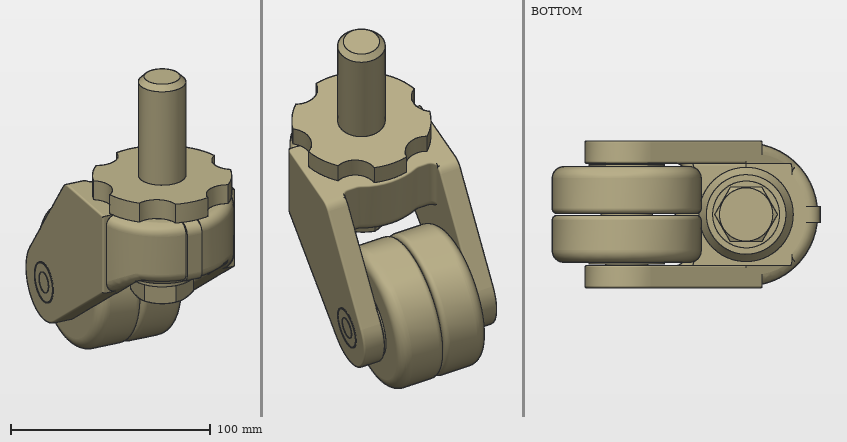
import cadquery as cq
import math


axle_x = -60.0
axle_z = -65.5

fork_half_width = 36.95
arm_inner_y = 25.6
arm_thickness = fork_half_width - arm_inner_y
arm_end_radius = 21.0
arm_front_x = 8.1
arm_top_corner_x = -36.2
arm_top_corner_radius = 8.0
arm_underside_angle = 35.5
arm_edge_radius = 1.0
boss_radius = 36.0
boss_depth = 32.1
boss_edge_radius = 5.5
web_bulge_radius = 35.6
web_wall_x = -31.6
web_blend_radius = 5.0
web_corner_radius = 3.5
web_overlap = 4.0
web_half_width = arm_inner_y + web_overlap
rib_reach = 37.3
rib_width = 8.2
cone_top_radius = 23.7
cone_bottom_radius = 20.0
cone_depth = 6.8

shaft_radius = 12.0
shaft_top_z = 66.79
shaft_tip_radius = 9.1
shaft_tip_height = 2.9
star_radius = 35.0
star_bottom_z = 1.5
star_thickness = 10.5
star_notch_count = 6
star_notch_radius = 11.0
star_notch_center_radius = 40.0
star_first_notch_angle = 30.0
collar_radius = 26.2
washer_radius = 16.8
washer_thickness = 3.3
nut_corner_radius = 15.8
nut_height = 11.0
nut_chamfer_radius = 13.4
nut_chamfer_angle = 30.0

wheel_radius = 37.5
wheel_half_width = 24.1
wheel_gap = 0.8
wheel_outer_edge_radius = 6.0
wheel_inner_edge_radius = 2.6
hub_radius = 19.0
hub_half_width = 25.0
hub_core_radius = 13.0

axle_radius = 10.6
axle_edge_chamfer = 0.5
axle_dimple_radius = 5.4
axle_dimple_depth = 0.3


def y_cylinder(radius, half_length):
    """Cylinder on the axle line, centred on y = 0."""
    return (
        cq.Workplane("XZ", origin=(axle_x, half_length, axle_z))
        .circle(radius)
        .extrude(2 * half_length)
    )



def tangent_point(point_x, point_z):
    """Point on the back of the round arm end that a line from (point_x, point_z) touches."""
    dx = point_x - axle_x
    dz = point_z - axle_z
    turn = math.acos(arm_end_radius / math.hypot(dx, dz))
    angle = math.atan2(dz, dx) + turn
    return (axle_x + arm_end_radius * math.cos(angle), axle_z + arm_end_radius * math.sin(angle))


underside_slope = math.tan(math.radians(arm_underside_angle))
underside_normal = math.radians(arm_underside_angle - 90)
underside_start = (
    axle_x + arm_end_radius * math.cos(underside_normal),
    axle_z + arm_end_radius * math.sin(underside_normal),
)


def underside_z(x):
    """Height of the sloping underside at x."""
    return underside_start[1] + underside_slope * (x - underside_start[0])


def arm_profile(y_front, length):
    """Side outline of an arm, extruded from y_front towards +Y."""
    lower_left = math.radians(225)
    arm_lower_left_point = (
        axle_x + arm_end_radius * math.cos(lower_left),
        axle_z + arm_end_radius * math.sin(lower_left),
    )
    profile = (
        cq.Workplane("XZ", origin=(0, y_front, 0))
        .moveTo(arm_front_x, 0)
        .lineTo(arm_top_corner_x, 0)
        .lineTo(*tangent_point(arm_top_corner_x, 0))
        .threePointArc(arm_lower_left_point, underside_start)
        .lineTo(arm_front_x, underside_z(arm_front_x))
        .close()
        .extrude(-length)
    )
    top_corner = cq.selectors.NearestToPointSelector((arm_top_corner_x, y_front + length / 2, 0))
    return profile.edges("|Y").edges(top_corner).fillet(arm_top_corner_radius)


def make_arm(y_front):
    arm = arm_profile(y_front, arm_thickness)
    return arm.faces("<Y or >Y").edges().fillet(arm_edge_radius)


def make_web():
    """Block between the arms, its back bulging around the stem axis."""
    junction_y = math.sqrt(web_bulge_radius**2 - web_wall_x**2)
    web = (
        cq.Workplane("XY")
        .moveTo(arm_front_x, web_half_width)
        .lineTo(web_wall_x, web_half_width)
        .lineTo(web_wall_x, junction_y)
        .threePointArc((-web_bulge_radius, 0), (web_wall_x, -junction_y))
        .lineTo(web_wall_x, -web_half_width)
        .lineTo(arm_front_x, -web_half_width)
        .close()
        .extrude(-boss_depth)
    )
    for side in (1, -1):
        junction = (web_wall_x, side * junction_y, -boss_depth / 2)
        web = web.edges("|Z").edges(cq.selectors.NearestToPointSelector(junction)).fillet(web_blend_radius)
    back_edges = cq.selectors.BoxSelector(
        (-web_bulge_radius, -web_half_width, -2 * boss_depth),
        (0, web_half_width, boss_depth),
    )
    web = web.edges("not |Z").edges(back_edges).edges("<Z").fillet(boss_edge_radius)
    return web.edges("not |Z").edges(back_edges).edges(">Z").fillet(arm_edge_radius)


def make_web_corner():
    """Hollow corner between web and arm, its rounded top and bottom edges swept a quarter turn."""
    outer_radius = web_corner_radius + boss_edge_radius
    lower_z = boss_edge_radius - boss_depth
    bend = math.sqrt(0.5)
    lower_mid = (outer_radius - boss_edge_radius * bend, lower_z - boss_edge_radius * bend)
    upper_start = web_corner_radius + arm_edge_radius
    upper_mid = (upper_start - arm_edge_radius * bend, -arm_edge_radius + arm_edge_radius * bend)
    corner = (
        cq.Workplane("XZ")
        .moveTo(outer_radius, 0)
        .lineTo(outer_radius, -boss_depth)
        .threePointArc(lower_mid, (web_corner_radius, lower_z))
        .lineTo(web_corner_radius, -arm_edge_radius)
        .threePointArc(upper_mid, (upper_start, 0))
        .close()
        .revolve(90, (0, 0, 0), (0, 1, 0))
        .translate((web_wall_x - web_corner_radius, arm_inner_y - web_corner_radius, 0))
    )
    return corner.intersect(arm_profile(0, fork_half_width))


def make_boss():
    """Round front of the fork; its underside runs on from the arms, then turns level."""
    level_start_x = underside_start[0] + (-boss_depth - underside_start[1]) / underside_slope
    block_size = 2 * boss_radius
    side_block = (
        cq.Workplane("XZ", origin=(0, block_size, 0))
        .moveTo(0, 0)
        .lineTo(0, underside_z(0))
        .lineTo(level_start_x, -boss_depth)
        .lineTo(block_size, -boss_depth)
        .lineTo(block_size, 0)
        .close()
        .extrude(2 * block_size)
    )
    boss = cq.Workplane("XY").circle(boss_radius).extrude(underside_z(0)).intersect(side_block)
    rim = boss.faces("%CYLINDER").edges("not |Z")
    boss = rim.fillet(boss_edge_radius)
    slot = (
        cq.Workplane("XY", origin=(0, 0, -boss_depth))
        .rect(4 * boss_radius, 2 * arm_inner_y)
        .extrude(-boss_depth)
    )
    rib_start_x = boss_radius - 2 * boss_edge_radius
    rib = (
        cq.Workplane("XY", origin=(rib_start_x, 0, -boss_depth))
        .box(rib_reach - rib_start_x, rib_width, boss_depth, centered=(False, True, False))
        .faces(">X")
        .edges("|Y")
        .fillet(boss_edge_radius)
    )
    return boss.cut(slot).union(rib)


def make_fork():
    cone = (
        cq.Workplane("XY", origin=(0, 0, -boss_depth))
        .circle(cone_top_radius)
        .workplane(offset=-cone_depth)
        .circle(cone_bottom_radius)
        .loft()
    )
    fork = make_web()
    for arm_y in (-fork_half_width, arm_inner_y):
        fork = fork.union(make_arm(arm_y))
    web_corner = make_web_corner()
    fork = fork.union(web_corner).union(web_corner.mirror("XZ"))
    fork = fork.union(make_boss()).union(cone)
    stem_hole = cq.Workplane("XY").circle(shaft_radius).extrude(4 * boss_depth, both=True)
    return fork.cut(stem_hole).cut(y_cylinder(axle_radius, fork_half_width))



washer_top_z = -boss_depth - cone_depth
nut_top_z = washer_top_z - washer_thickness
nut_bottom_z = nut_top_z - nut_height


def make_star():
    star = cq.Workplane("XY", origin=(0, 0, star_bottom_z)).circle(star_radius).extrude(star_thickness)
    notches = (
        cq.Workplane("XY", origin=(0, 0, star_bottom_z))
        .polarArray(star_notch_center_radius, star_first_notch_angle, 360, star_notch_count)
        .circle(star_notch_radius)
        .extrude(star_thickness)
    )
    return star.cut(notches)


def make_nut():
    """Hexagon with its lower corners turned off by a cone."""
    nut = (
        cq.Workplane("XY", origin=(0, 0, nut_bottom_z))
        .polygon(6, 2 * nut_corner_radius)
        .extrude(nut_height)
    )
    chamfer_rise = (nut_corner_radius - nut_chamfer_radius) * math.tan(math.radians(nut_chamfer_angle))
    turned = (
        cq.Workplane("XZ")
        .moveTo(0, nut_bottom_z)
        .lineTo(nut_chamfer_radius, nut_bottom_z)
        .lineTo(nut_corner_radius, nut_bottom_z + chamfer_rise)
        .lineTo(nut_corner_radius, nut_top_z)
        .lineTo(0, nut_top_z)
        .close()
        .revolve(360, (0, 0, 0), (0, 1, 0))
    )
    return nut.intersect(turned)


def make_stem():
    shaft = (
        cq.Workplane("XZ")
        .moveTo(0, nut_top_z)
        .lineTo(washer_radius, nut_top_z)
        .lineTo(washer_radius, washer_top_z)
        .lineTo(shaft_radius, washer_top_z)
        .lineTo(shaft_radius, 0)
        .lineTo(collar_radius, 0)
        .lineTo(collar_radius, star_bottom_z)
        .lineTo(shaft_radius, star_bottom_z)
        .lineTo(shaft_radius, shaft_top_z - shaft_tip_height)
        .lineTo(shaft_tip_radius, shaft_top_z)
        .lineTo(0, shaft_top_z)
        .close()
        .revolve(360, (0, 0, 0), (0, 1, 0))
    )
    return shaft.union(make_star()).union(make_nut())



def make_tread(side):
    """One of the two treads; side is +1 or -1 along Y."""
    inner_y = wheel_gap / 2
    width = wheel_half_width - inner_y
    tread = (
        cq.Workplane("XZ", origin=(axle_x, side * inner_y, axle_z))
        .circle(wheel_radius)
        .extrude(-side * width)
    )
    outer_face, inner_face = (">Y", "<Y") if side > 0 else ("<Y", ">Y")
    tread = tread.faces(outer_face).edges().fillet(wheel_outer_edge_radius)
    return tread.faces(inner_face).edges().fillet(wheel_inner_edge_radius)


def make_wheel():
    wheel = y_cylinder(hub_core_radius, wheel_half_width)
    for side in (1, -1):
        wheel = wheel.union(make_tread(side))
        hub_face = (
            cq.Workplane("XZ", origin=(axle_x, side * wheel_half_width, axle_z))
            .circle(hub_radius)
            .extrude(-side * (hub_half_width - wheel_half_width))
        )
        wheel = wheel.union(hub_face)
    return wheel.cut(y_cylinder(axle_radius, hub_half_width))



def make_axle():
    axle = y_cylinder(axle_radius, fork_half_width)
    axle = axle.faces("<Y or >Y").edges().chamfer(axle_edge_chamfer)
    dimple_core = y_cylinder(axle_dimple_radius, fork_half_width)
    middle = y_cylinder(axle_dimple_radius, fork_half_width - axle_dimple_depth)
    return axle.cut(dimple_core.cut(middle))


fork = make_fork()
stem = make_stem()
wheel = make_wheel()
axle = make_axle()

result = cq.Compound.makeCompound([fork.val(), stem.val(), wheel.val(), axle.val()])